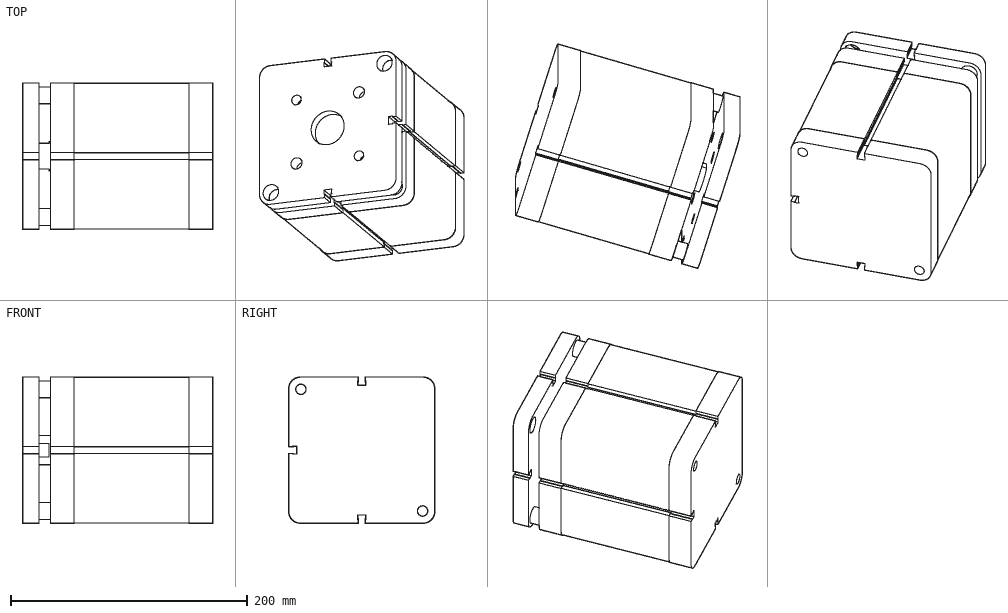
import cadquery as cq
length = 161.0
cover_width = 124.0
barrel_inset = 0.24
corner_radius = 10.0

plate_thickness = 14.0
housing_start = 23.5
cover_length = 20.0
barrel_start = housing_start + cover_length
barrel_end = length - cover_length
gap = housing_start - plate_thickness

slot_neck_width = 5.8
slot_neck_depth = 3.4
slot_chamber_width = 7.0
slot_depth = 7.0
barrel_neck_width = 5.6
barrel_neck_depth = 4.0
barrel_chamber_width = 6.1
slot_turns = (0, 90, 180)

corner_offset = 51.5
guide_diameter = 14.5
bolt_hole_diameter = 8.5
bolt_clearance_diameter = 14.0

rod_diameter = 25.0
rod_across_flats = 22.0
rod_flat_length = 8.4

recess_diameter = 30.0
recess_depth = 9.7
fixing_offset = 28.3
thread_hole_diameter = 8.5
dowel_hole_diameter = 10.0


def diagonal(offset):
    """The (Y, Z) corners of a square on the +Y +Z / -Y -Z diagonal."""
    return [(offset, offset), (-offset, -offset)]


def cross_diagonal(offset):
    """The (Y, Z) corners of a square on the -Y +Z / +Y -Z diagonal."""
    return [(-offset, offset), (offset, -offset)]


def cylinders(start, run, diameter, points):
    return cq.Workplane("YZ", origin=(start, 0, 0)).pushPoints(points).circle(diameter / 2).extrude(run)


def bar(start, run, width, bottom, top):
    """A bar along X, centred on Y = 0, from Z = bottom to Z = top."""
    return cq.Workplane("XY").box(run, width, top - bottom, centered=(False, True, False)).translate((start, 0, bottom))


def slotted_block(start, run, side, neck_width, neck_depth, chamber_width):
    """A rounded square block along X with T-slots in three sides."""
    block = cq.Workplane("YZ", origin=(start, 0, 0)).rect(side, side).extrude(run)
    block = block.edges("|X").fillet(corner_radius)
    slot_floor = side / 2 - slot_depth
    neck_floor = side / 2 - neck_depth
    slot = bar(start, run, neck_width, slot_floor, side / 2)
    slot = slot.union(bar(start, run, chamber_width, slot_floor, neck_floor))
    for turn in slot_turns:
        block = block.cut(slot.rotate((0, 0, 0), (1, 0, 0), turn))
    return block


def cover_block(start, run):
    return slotted_block(start, run, cover_width, slot_neck_width, slot_neck_depth, slot_chamber_width)


def make_plate():
    plate = cover_block(0, plate_thickness)
    plate = plate.cut(cylinders(0, recess_depth, recess_diameter, [(0, 0)]))
    plate = plate.cut(cylinders(0, plate_thickness, bolt_clearance_diameter, cross_diagonal(corner_offset)))
    plate = plate.cut(cylinders(0, plate_thickness, dowel_hole_diameter, cross_diagonal(fixing_offset)))
    return plate.cut(cylinders(0, plate_thickness, thread_hole_diameter, diagonal(fixing_offset)))


def make_housing():
    """Front cover, barrel and rear cover in one, with two bolt holes right through."""
    barrel_side = cover_width - 2 * barrel_inset
    barrel = slotted_block(
        barrel_start,
        barrel_end - barrel_start,
        barrel_side,
        barrel_neck_width,
        barrel_neck_depth,
        barrel_chamber_width,
    )
    housing = cover_block(housing_start, cover_length).union(barrel)
    housing = housing.union(cover_block(barrel_end, cover_length))
    bolt_holes = cylinders(housing_start, length - housing_start, bolt_hole_diameter, cross_diagonal(corner_offset))
    return housing.cut(bolt_holes)


def make_piston_rod():
    rod = cylinders(plate_thickness, gap, rod_diameter, [(0, 0)])
    flat_depth = (rod_diameter - rod_across_flats) / 2
    flat_cut = cq.Workplane("XY").box(rod_flat_length, flat_depth, rod_diameter, centered=(False, False, True))
    flat_cut = flat_cut.translate((plate_thickness, rod_across_flats / 2, 0))
    return rod.cut(flat_cut).cut(flat_cut.mirror("XZ"))


def make_guide_rod(point):
    return cylinders(plate_thickness, gap, guide_diameter, [point])


plate = make_plate()
housing = make_housing()
piston_rod = make_piston_rod()
guide_rods = [make_guide_rod(point) for point in diagonal(corner_offset)]

result = cq.Compound.makeCompound(
    [plate.val(), housing.val(), piston_rod.val(), *[rod.val() for rod in guide_rods]]
)